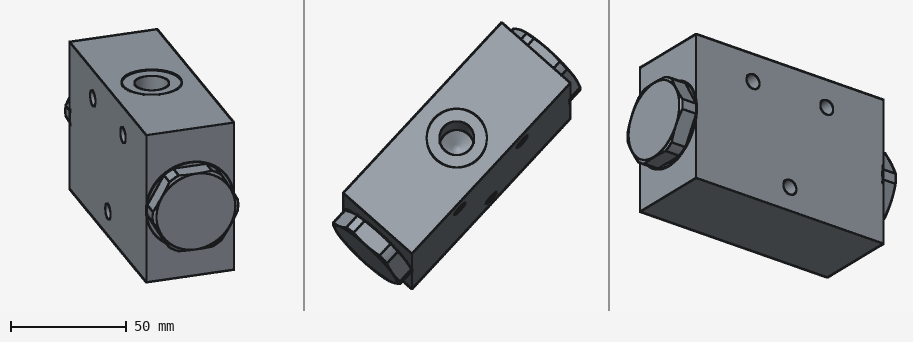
import cadquery as cq
import math

overall_length = 117.0
block_length = 101.8
block_width = 40.0
block_height = 70.0

plug_axis_z = -1.0
hex_sides = 6
hex_across_flats = 36.0
hex_corner_diameter = 39.1
hex_turn = 30.0
face_diameter = 35.9
chamfer_length = 0.6
plug_seat_diameter = block_width
plug_seat_depth = 0.5

spotface_diameter = 26.0
spotface_depth = 0.5
port_diameter = 15.0
port_depth = 17.5
drill_tip_angle = 118.0

mounting_hole_diameter = 7.0
upper_hole_spacing = 40.0
upper_hole_z = 21.5
lower_hole_z = -23.5

block_end_x = block_length / 2
block_top_z = block_height / 2
seat_floor_x = block_end_x - plug_seat_depth


def x_cylinder(diameter, start_x, length):
    """Cylinder on the plug axis, running toward +X from start_x."""
    return (
        cq.Workplane("YZ", origin=(start_x, 0, plug_axis_z))
        .circle(diameter / 2)
        .extrude(length)
    )


def port_cutter():
    """Spotface, bore and conical drill tip revolved about the Z axis."""
    tip_length = port_diameter / 2 / math.tan(math.radians(drill_tip_angle / 2))
    spotface_floor_z = block_top_z - spotface_depth
    bore_end_z = block_top_z - port_depth
    return (
        cq.Workplane("XZ")
        .moveTo(0, block_top_z)
        .lineTo(spotface_diameter / 2, block_top_z)
        .lineTo(spotface_diameter / 2, spotface_floor_z)
        .lineTo(port_diameter / 2, spotface_floor_z)
        .lineTo(port_diameter / 2, bore_end_z)
        .lineTo(0, bore_end_z - tip_length)
        .close()
        .revolve(360, (0, 0, 0), (0, 1, 0))
    )


def make_housing():
    """Rectangular block with the top port, mounting holes and two plug seats."""
    block = cq.Workplane("XY").box(block_length, block_width, block_height)
    hole_centres = [
        (-upper_hole_spacing / 2, upper_hole_z),
        (upper_hole_spacing / 2, upper_hole_z),
        (0, lower_hole_z),
    ]
    mounting_holes = (
        cq.Workplane("XZ")
        .pushPoints(hole_centres)
        .circle(mounting_hole_diameter / 2)
        .extrude(block_width / 2, both=True)
    )
    block = block.cut(port_cutter()).cut(mounting_holes)
    for seat_start_x in (-block_end_x, seat_floor_x):
        block = block.cut(x_cylinder(plug_seat_diameter, seat_start_x, plug_seat_depth))
    return block


def make_plug(side):
    """Hexagonal plug on the +X (side=1) or -X (side=-1) end, corners rounded and outer face chamfered."""
    length = overall_length / 2 - seat_floor_x
    hexagon = (
        cq.Workplane("YZ", origin=(seat_floor_x, 0, plug_axis_z))
        .transformed(rotate=(0, 0, hex_turn))
        .polygon(hex_sides, hex_across_flats, circumscribed=True)
        .extrude(length)
    )
    chamfer_width = (hex_corner_diameter - face_diameter) / 2
    envelope = (
        x_cylinder(hex_corner_diameter, seat_floor_x, length)
        .faces(">X")
        .chamfer(chamfer_length, chamfer_width)
    )
    plug = hexagon.intersect(envelope)
    if side < 0:
        plug = plug.mirror("YZ")
    return plug


housing = make_housing()
plugs = [make_plug(side) for side in (-1, 1)]

result = cq.Compound.makeCompound([housing.val(), *[plug.val() for plug in plugs]])